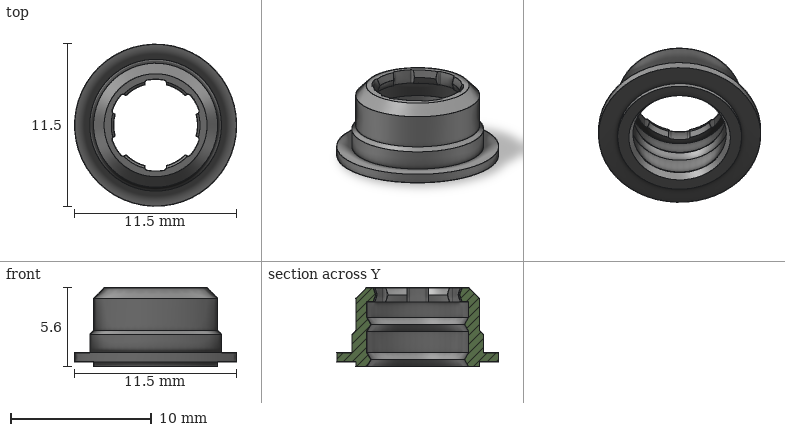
import cadquery as cq
import math

height = 5.6
body_radius = 8.8 / 2
collar_radius = 9.35 / 2
flange_radius = 11.5 / 2
flange_bottom = 0.35
flange_top = 1.0
collar_top = 2.3
collar_chamfer = collar_radius - body_radius
nose_chamfer = 0.75

chamber_radius = 7.2 / 2
ridge_half_height = 0.5
ridge_slope = math.radians(30)
ridge_radius = chamber_radius - ridge_half_height * math.tan(ridge_slope)
middle_ridge_z = 3.0
bottom_ridge_z = ridge_half_height

mouth_radius = 3.15
lip_slope = math.radians(20)
lip_radius = mouth_radius - ridge_half_height * math.tan(lip_slope)
lip_z = height - ridge_half_height
lip_base_z = lip_z - ridge_half_height

notch_count = 6
notch_radius = 3.25
notch_width = 1.54
notch_corner_radius = 0.22
first_notch_angle = 30


def ridge_points(base_radius, crest_radius, crest_z):
    """Profile points of one V-shaped ridge, from its upper to its lower edge."""
    return [
        (base_radius, crest_z + ridge_half_height),
        (crest_radius, crest_z),
        (base_radius, crest_z - ridge_half_height),
    ]


def make_sleeve():
    """Revolve the flanged outer shape together with its ridged bore."""
    outside = [
        (body_radius, 0),
        (body_radius, flange_bottom),
        (flange_radius, flange_bottom),
        (flange_radius, flange_top),
        (collar_radius, flange_top),
        (collar_radius, collar_top),
        (body_radius, collar_top + collar_chamfer),
        (body_radius, height - nose_chamfer),
        (body_radius - nose_chamfer, height),
    ]
    lip = ridge_points(mouth_radius, lip_radius, lip_z)
    lip_underside = [(chamber_radius, lip_base_z)]
    middle_ridge = ridge_points(chamber_radius, ridge_radius, middle_ridge_z)
    bottom_ridge = ridge_points(chamber_radius, ridge_radius, bottom_ridge_z)
    profile = outside + lip + lip_underside + middle_ridge + bottom_ridge
    return cq.Workplane("XZ").polyline(profile).close().revolve(360, (0, 0), (0, 1))


def make_notch(angle):
    """Cutter for one round-cornered notch, running the full height of the lip."""
    half_width = notch_width / 2
    corner_reach = math.sqrt(notch_radius**2 - half_width**2)
    notch = (
        cq.Workplane("XY", origin=(0, 0, lip_base_z))
        .moveTo(0, -half_width)
        .lineTo(corner_reach, -half_width)
        .threePointArc((notch_radius, 0), (corner_reach, half_width))
        .lineTo(0, half_width)
        .close()
        .extrude(height - lip_base_z)
        .edges("|Z")
        .edges(">X")
        .fillet(notch_corner_radius)
    )
    return notch.rotate((0, 0, 0), (0, 0, 1), angle)


result = make_sleeve()
for index in range(notch_count):
    result = result.cut(make_notch(first_notch_angle + index * 360 / notch_count))